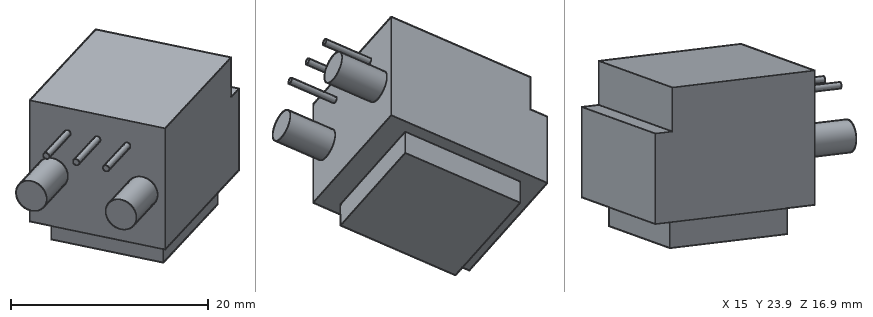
import cadquery as cq

housing_width = 14.97
housing_depth = 18.6
housing_height = 13.91
step_depth = 1.99
step_height = 4.55

base_width = 12.4
base_depth = 13.7
base_height = 3.0
base_setback = 2.47

overall_depth = 23.95
projection = overall_depth - housing_depth
pin_diameter = 0.7
pin_pitch = 3.3
pin_drop = 2.87
peg_diameter = 3.4
peg_spacing = 9.92
peg_drop = 7.8


def make_housing():
    """Block with a step cut along its top rear edge."""
    outline = [
        (0, 0),
        (housing_depth, 0),
        (housing_depth, housing_height - step_height),
        (housing_depth - step_depth, housing_height - step_height),
        (housing_depth - step_depth, housing_height),
        (0, housing_height),
    ]
    return cq.Workplane("YZ").polyline(outline).close().extrude(housing_width / 2, both=True)


def make_base():
    """Plain block with its top against the underside of the housing."""
    return cq.Workplane("XY").box(
        base_width, base_depth, base_height, centered=(True, False, False)
    ).translate((0, base_setback, -base_height))


def make_rod(diameter, x, drop):
    """Round rod from the front face, its axis a given drop below the housing top."""
    return (
        cq.Workplane("XZ")
        .center(x, housing_height - drop)
        .circle(diameter / 2)
        .extrude(projection)
    )


housing = make_housing()
base = make_base()
pins = [make_rod(pin_diameter, place * pin_pitch, pin_drop) for place in (-1, 0, 1)]
pegs = [make_rod(peg_diameter, side * peg_spacing / 2, peg_drop) for side in (-1, 1)]

result = cq.Compound.makeCompound(
    [housing.val(), base.val(), *[pin.val() for pin in pins], *[peg.val() for peg in pegs]]
)